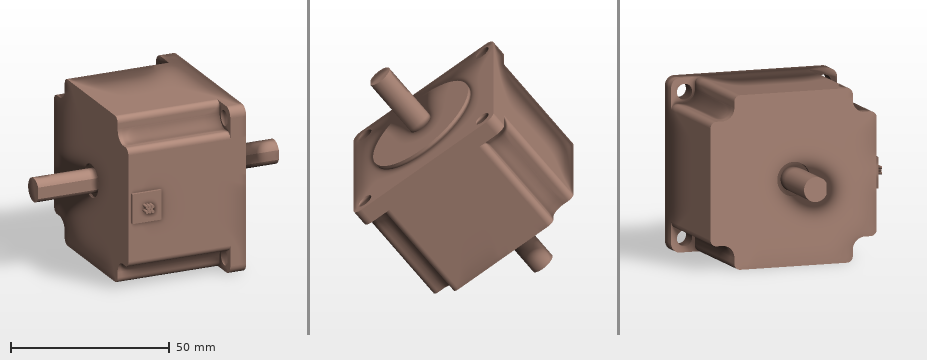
import cadquery as cq
import math


frame_width = 56.0
half_width = frame_width / 2

pilot_height = 1.5
flange_thickness = 5.5
front_cap_length = 10.5
stator_length = 19.4
rear_cap_length = 11.0
overall_length = 83.6
rear_shaft_length = 20.1

stator_front_y = -front_cap_length
stator_rear_y = stator_front_y - stator_length
motor_rear_y = stator_rear_y - rear_cap_length
shaft_rear_y = motor_rear_y - rear_shaft_length
shaft_front_y = shaft_rear_y + overall_length

flange_corner_radius = 3.0
mount_hole_diameter = 5.1
mount_hole_inset = 4.5
mount_hole_spacing = frame_width - 2 * mount_hole_inset
pilot_diameter = 38.1

notch_depth = 8.0
notch_inner_radius = 4.0
notch_lip_radius = 2.0

shaft_diameter = 8.0
front_flat_offset = 3.7
rear_flat_offset = 3.5
rear_recess_diameter = 11.0
rear_recess_depth = 1.0

outlet_size = 10.0
outlet_thickness = 1.0
lead_length = 2.5
lead_pitch = 1.0
lead_gap = 0.02
lead_diameter = lead_pitch - lead_gap
lead_rows = (3, 2, 3)
lead_row_spacing = lead_pitch * math.sin(math.radians(60))
outlet_y = stator_rear_y - outlet_size / 2


def plane_facing_rear(y):
    """Plane at the given Y whose extrusions run toward -Y; local y is Z and local x is X."""
    return cq.Workplane("XZ", origin=(0, y, 0))


def cylinder_along_shaft(diameter, front_y, rear_y):
    return plane_facing_rear(front_y).circle(diameter / 2).extrude(front_y - rear_y)


def flatted_shaft(flat_offset, front_y, rear_y):
    """Round shaft end cut off flat at X = flat_offset."""
    length = front_y - rear_y
    cut_depth = shaft_diameter / 2 - flat_offset
    flat_cutter = (
        plane_facing_rear(front_y)
        .center(flat_offset + cut_depth / 2, 0)
        .rect(cut_depth, shaft_diameter)
        .extrude(length)
    )
    return cylinder_along_shaft(shaft_diameter, front_y, rear_y).cut(flat_cutter)


def notched_section(front_y, length):
    """Square block with a rounded notch along each of its four long corners."""
    notch_wall = half_width - notch_depth
    wide_bar = plane_facing_rear(front_y).rect(frame_width, 2 * notch_wall).extrude(length)
    tall_bar = plane_facing_rear(front_y).rect(2 * notch_wall, frame_width).extrude(length)
    wide_bar = wide_bar.edges("|Y").fillet(notch_lip_radius)
    tall_bar = tall_bar.edges("|Y").fillet(notch_lip_radius)
    section = wide_bar.union(tall_bar)
    reach = notch_wall + notch_lip_radius / 2
    inner_corners = cq.selectors.BoxSelector(
        (-reach, front_y - length, -reach),
        (reach, front_y, reach),
    )
    return section.edges("|Y").edges(inner_corners).fillet(notch_inner_radius)


def make_front_cap():
    flange = plane_facing_rear(0).rect(frame_width, frame_width).extrude(flange_thickness)
    flange = flange.edges("|Y").fillet(flange_corner_radius)
    mount_holes = (
        plane_facing_rear(0)
        .rect(mount_hole_spacing, mount_hole_spacing, forConstruction=True)
        .vertices()
        .circle(mount_hole_diameter / 2)
        .extrude(flange_thickness)
    )
    neck = notched_section(-flange_thickness, front_cap_length - flange_thickness)
    pilot = cylinder_along_shaft(pilot_diameter, pilot_height, 0)
    shaft_end = flatted_shaft(front_flat_offset, shaft_front_y, pilot_height)
    return flange.cut(mount_holes).union(neck).union(pilot).union(shaft_end)


def lead_positions():
    """(Y, Z) offsets of the leads, packed in staggered rows about the outlet centre."""
    positions = []
    for row, count in enumerate(lead_rows):
        z = (row - (len(lead_rows) - 1) / 2) * lead_row_spacing
        for column in range(count):
            y = (column - (count - 1) / 2) * lead_pitch
            positions.append((y, z))
    return positions


def make_rear_cap():
    cap = notched_section(stator_rear_y, rear_cap_length)
    recess_floor_y = motor_rear_y + rear_recess_depth
    recess = cylinder_along_shaft(rear_recess_diameter, recess_floor_y, motor_rear_y)
    shaft_end = flatted_shaft(rear_flat_offset, recess_floor_y, shaft_rear_y)
    outlet = (
        cq.Workplane("YZ", origin=(half_width, outlet_y, 0))
        .rect(outlet_size, outlet_size)
        .extrude(outlet_thickness)
    )
    leads = (
        cq.Workplane("YZ", origin=(half_width + outlet_thickness, outlet_y, 0))
        .pushPoints(lead_positions())
        .circle(lead_diameter / 2)
        .extrude(lead_length)
    )
    return cap.cut(recess).union(shaft_end).union(outlet).union(leads)


front_cap = make_front_cap()
stator = notched_section(stator_front_y, stator_length)
rear_cap = make_rear_cap()

result = cq.Compound.makeCompound([front_cap.solids().val(), stator.solids().val(), rear_cap.solids().val()])